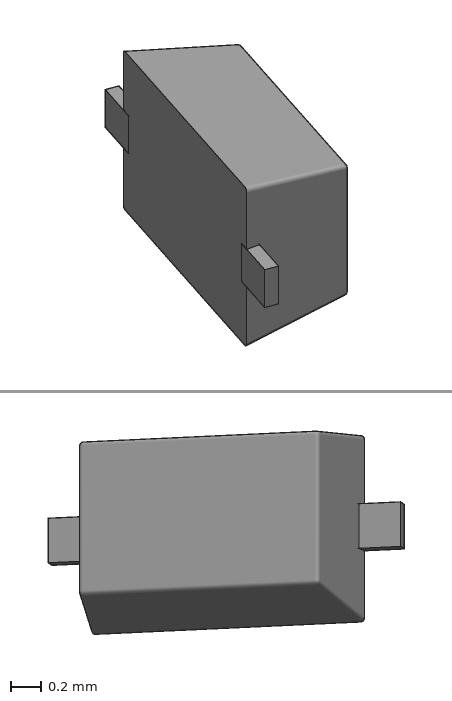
import cadquery as cq
import math

span = 2.39
body_length = 1.85
body_width = 1.25
body_depth = 0.8
draft_angle = 8.0
edge_radius = 0.029

lead_length = 0.35
lead_width = 0.299
lead_thickness = 0.1


def make_lead(side):
    """Flat lead on the -X side (side = -1) or the +X side (side = 1)."""
    center_x = side * (span - lead_length) / 2
    return cq.Workplane("XY").box(lead_length, lead_thickness, lead_width).translate(
        (center_x, lead_thickness / 2, 0)
    )


def make_body(leads):
    """Drafted, rounded package body with a matching pocket for each lead."""
    inset = body_depth * math.tan(math.radians(draft_angle))
    body = (
        cq.Workplane("XZ")
        .rect(body_length, body_width)
        .workplane(offset=-body_depth)
        .rect(body_length - 2 * inset, body_width - 2 * inset)
        .loft(ruled=True)
    )
    body = body.edges("not <Y").fillet(edge_radius)
    for lead in leads:
        body = body.cut(lead)
    return body


leads = [make_lead(side) for side in (-1, 1)]
body = make_body(leads)

result = cq.Compound.makeCompound([body.val(), *[lead.val() for lead in leads]])